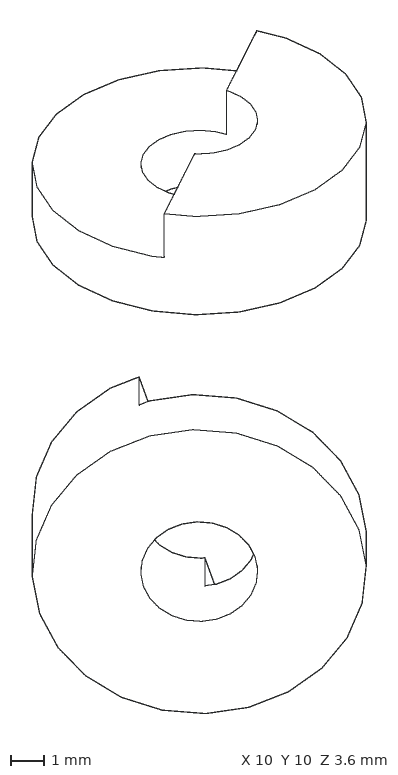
import cadquery as cq

outer_diameter = 10.0
bore_diameter = 3.5
side_count = 24
base_thickness = 2.0
total_height = 3.6
step_offset = 0.35


def make_ring():
    """Full-height faceted ring centred on the Z axis, resting on Z = 0."""
    return (
        cq.Workplane("XY")
        .polygon(side_count, outer_diameter)
        .polygon(side_count, bore_diameter)
        .extrude(total_height)
    )


def make_step_cut():
    """Block covering everything above the base on the -X side of the step wall."""
    cut_length = outer_diameter / 2 + step_offset
    cut_height = total_height - base_thickness
    return (
        cq.Workplane("XY")
        .box(cut_length, outer_diameter, cut_height, centered=(False, True, False))
        .translate((step_offset - cut_length, 0, base_thickness))
    )


result = make_ring().cut(make_step_cut())